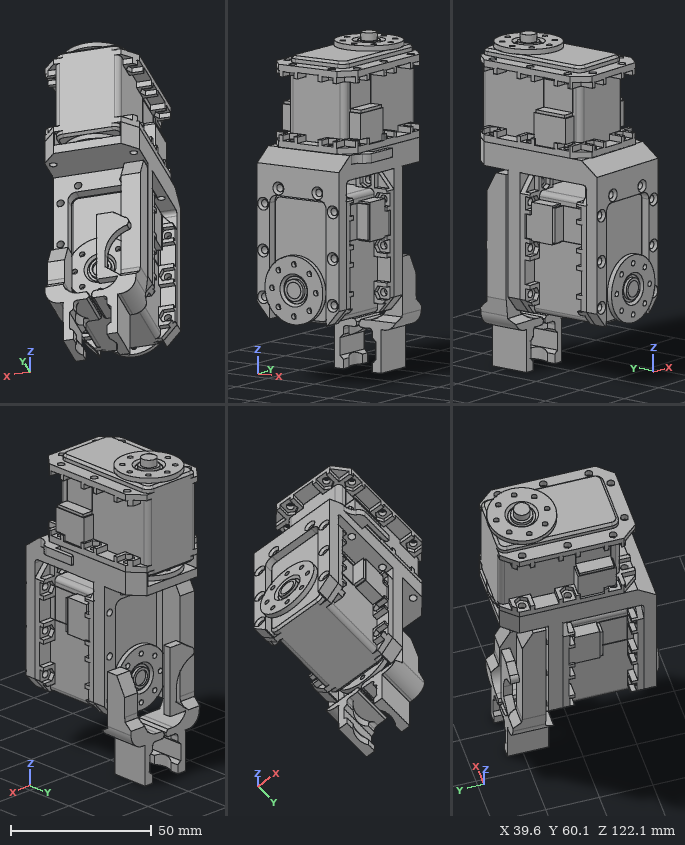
import cadquery as cq
import math

TOTAL_HEIGHT = 122.1
TOTAL_DEPTH = 60.1
HALF_WIDTH = 17.7

SERVO_HEIGHT = 30.2
REAR = 12.1
FLANGE_FRONT = -38.7
CASE_FRONT = -33.2
CASE_HALF_WIDTH = 12.2
CASE_RADIUS = 2.0
CORNER_X = 5.1
CORNER_Y = 5.9
PAD_HEIGHT = 4.5
PLATE_THICKNESS = PAD_HEIGHT / 2
PAD_WIDTH = 7.9
NUT_WIDTH = 4.8
NUT_DEPTH = 2.0
SCREW_DIA = 2.7
SIDE_SCREW_X = 15.0
SIDE_SCREW_FIRST_Y = 4.4
SIDE_SCREW_PITCH = 17.0
SIDE_SCREWS = [(SIDE_SCREW_X, SIDE_SCREW_FIRST_Y - i * SIDE_SCREW_PITCH) for i in range(3)]
END_SCREW = (8.4, -35.8)
CAP_HEIGHT = 2.5
CAP_RADIUS = 3.0
CAP_CHAMFER = 1.0
PIN_DIA = 6.0
PIN_REACH = 7.3
REAR_PIN_REACH = 5.4

SOCKET_REAR = -15.9
SOCKET_FRONT = -30.2
SOCKET_X = 17.0
SOCKET_TOP = 14.0
PLUG_TOP = 15.1
PLUG_INSET_X = 0.2
PLUG_INSET_Y = 0.6
SLOT_DEPTH = 0.2

HORN_DIA = 25.0
HORN_THICKNESS = 2.0
HORN_HOLE_DIA = 2.0
HORN_HOLE_COUNT = 8
HORN_CIRCLE_DIA = 18.9
GROOVE_RIM_DIA = 12.0
GROOVE_DIA = 10.0
HUB_DIA = 8.0
GROOVE_DEPTH = 1.2
UPPER_REAR_HORN_GAP = 3.3
LOWER_REAR_HORN_GAP = 4.3
HORN_CLEARANCE_DIA = 25.4

UPPER_BASE_Z = TOTAL_HEIGHT - PIN_REACH - SERVO_HEIGHT
LOWER_BASE_Y = HORN_DIA / 2 + SERVO_HEIGHT + PIN_REACH - TOTAL_DEPTH
LOWER_AXIS_Z = 35.3

DECK_THICKNESS = 8.9
DECK_BOTTOM = UPPER_BASE_Z - DECK_THICKNESS
REAR_ARM = 5.5
FRONT_ARM = 4.8
DECK_FRONT = -38.0
DECK_POCKET = 5.5
FRONT_SLOPE_DROP = 5.1
INNER_RADIUS = 1.7
COUNTERSINK_DIA = 4.6
COUNTERSINK_ANGLE = 90
HOOK_X = 21.9
HOOK_INNER_X = 20.1
HOOK_TIP_X = 21.0
HOOK_TIP_Y = -17.1
HOOK_TAPER_Y = -19.7
HOOK_ROOT_REAR = -27.0
HOOK_BEND_Y = -30.3
HOOK_ROOT_FRONT = -37.9
HOOK_EMBED = 1.2
HOOK_HEIGHT = 3.3

FINGER_FRONT = -7.1
FINGER_REAR = 8.4
ARM_FRONT = -3.8
ARM_REAR = 5.1
FINGER_X = 17.0
GRIP_OUTER_X = 10.1
GRIP_INNER_X = 6.2
GRIP_RECESS_X = 7.7
FOOT_TOP = 3.5
RECESS_BOTTOM = 4.8
RECESS_TOP = 11.2
KNUCKLE_BOTTOM = 12.6
KNUCKLE_RADIUS = 1.3
TIP_X = 0.5
TIP_CHAMFER_X = 0.9
TIP_CHAMFER_Z = 0.6
TIP_TOP_CHAMFER_Z = 1.1
ARM_INNER_X = 10.5
HIP_TOP = 27.7
HIP_BOTTOM = 21.6
HIP_RADIUS = 5.7
PALM_BOTTOM = HIP_BOTTOM - HIP_RADIUS
PALM_TOP = 18.8
PALM_ARC_RADIUS = 6.6
FRONT_SLOPE_BOTTOM = 18.9
FRONT_SLOPE_TOP = 20.8
REAR_BEVEL_Y = 5.4
REAR_BEVEL_TOP = 25.9
REAR_BEVEL_BOTTOM = 23.3
ARM_CUT_Y = 1.1
ARM_CUT_DROP = 7.3
RIB_INNER_X = 2.5
RIB_FLAT_X = 5.5
RIB_FOOT_X = 11.6
RIB_TOP_X = 8.5
RIB_FLAT_BOTTOM = 28.1
RIB_FLAT_TOP = 33.2
RIB_TOP = 50
GRIP_DIA = 15.1
GRIP_Y = (FINGER_FRONT + FINGER_REAR) / 2
LEFT_ARM_TOP = 74.0
RIGHT_ARM_TOP = 42.7


def box(x0, x1, y0, y1, z0, z1):
    """Axis-aligned block between the given limits."""
    return cq.Workplane("XY").box(x1 - x0, y1 - y0, z1 - z0, centered=False).translate((x0, y0, z0))


def prism(points, z0, z1):
    """Closed polygon in XY, extruded from z0 to z1."""
    return cq.Workplane("XY").workplane(offset=z0).polyline(points).close().extrude(z1 - z0)


def across_x(points, half_width):
    """Closed polygon in YZ, extruded symmetrically in X."""
    return cq.Workplane("YZ").polyline(points).close().extrude(half_width, both=True)


def cylinders(points, dia, z0, z1):
    return cq.Workplane("XY").workplane(offset=z0).pushPoints(points).circle(dia / 2).extrude(z1 - z0)


def both_sides(shape):
    """The shape and its mirror image across the YZ plane."""
    return shape.union(shape.mirror("YZ"))


def place_upper(shape):
    return shape.translate((0, 0, UPPER_BASE_Z))


def place_lower(shape):
    """Turn the servo frame so that its axis points to -Y and its rear end points down."""
    turned = shape.rotate((0, 0, 0), (0, 0, 1), 180).rotate((0, 0, 0), (1, 0, 0), 90)
    return turned.translate((0, LOWER_BASE_Y, LOWER_AXIS_Z))


def screw_points():
    right = SIDE_SCREWS + [END_SCREW]
    return right + [(-x, y) for x, y in right]




def flange_outline(z0, z1):
    """Flange plan shape: a rectangle with four cut corners."""
    inner_x = HALF_WIDTH - CORNER_X
    right = [
        (inner_x, REAR),
        (HALF_WIDTH, REAR - CORNER_Y),
        (HALF_WIDTH, FLANGE_FRONT + CORNER_Y),
        (inner_x, FLANGE_FRONT),
    ]
    left = [(-x, y) for x, y in reversed(right)]
    return prism(right + left, z0, z1)


def nut_cutter(screw, angle):
    """Nut recess with its point towards the case and its mouth at the flange edge."""
    half = NUT_WIDTH / 2
    shoulder = -half / math.sqrt(3)
    point = 2 * shoulder
    outline = [(HALF_WIDTH, half), (shoulder, half), (point, 0), (shoulder, -half), (HALF_WIDTH, -half)]
    cutter = prism(outline, PAD_HEIGHT - NUT_DEPTH, PAD_HEIGHT)
    return cutter.rotate((0, 0, 0), (0, 0, 1), angle).translate((screw[0], screw[1], 0))


def flange():
    """Lower flange plate with a raised pad around each screw."""
    half = PAD_WIDTH / 2
    inner_x = CASE_HALF_WIDTH - CASE_RADIUS
    inner_y = CASE_FRONT + CASE_RADIUS
    pads = cq.Workplane("XY")
    for x, y in SIDE_SCREWS:
        pads = pads.union(box(inner_x, HALF_WIDTH, y - half, y + half, 0, PAD_HEIGHT))
    end_x = END_SCREW[0]
    pads = pads.union(box(end_x - half, end_x + half, FLANGE_FRONT, inner_y, 0, PAD_HEIGHT))
    pads = both_sides(pads).intersect(flange_outline(0, PAD_HEIGHT))
    return flange_outline(0, PLATE_THICKNESS).union(pads)


def flange_cutters():
    """Screw holes and nut recesses of the lower flange."""
    nuts = nut_cutter(END_SCREW, -90)
    for screw in SIDE_SCREWS:
        nuts = nuts.union(nut_cutter(screw, 0))
    return both_sides(nuts).union(cylinders(screw_points(), SCREW_DIA, 0, PAD_HEIGHT))


def servo_block(z0, z1, radius):
    """Case-sized block with rounded vertical edges."""
    block = box(-CASE_HALF_WIDTH, CASE_HALF_WIDTH, CASE_FRONT, REAR, z0, z1)
    return block.edges("|Z").fillet(radius)


def on_both_ends(shape):
    """The shape and its mirror image across the servo's mid-height plane."""
    return shape.union(shape.mirror("XY").translate((0, 0, SERVO_HEIGHT)))


def socket():
    """Cable socket with a slightly smaller plug on top, on the +X side."""
    body = box(0, SOCKET_X, SOCKET_FRONT, SOCKET_REAR, 0, SOCKET_TOP)
    plug = box(
        0,
        SOCKET_X - PLUG_INSET_X,
        SOCKET_FRONT + PLUG_INSET_Y,
        SOCKET_REAR - PLUG_INSET_Y,
        0,
        PLUG_TOP,
    )
    return body.union(plug)


def plug_slot():
    """Shallow recess in the case wall above the plug."""
    return box(
        CASE_HALF_WIDTH - SLOT_DEPTH,
        SOCKET_X,
        SOCKET_FRONT + PLUG_INSET_Y,
        SOCKET_REAR - PLUG_INSET_Y,
        PLUG_TOP,
        SERVO_HEIGHT - PAD_HEIGHT,
    )


def servo():
    case = servo_block(0, SERVO_HEIGHT, CASE_RADIUS).cut(both_sides(plug_slot()))
    cap = servo_block(-CAP_HEIGHT, 0, CAP_RADIUS).faces("<Z").chamfer(CAP_CHAMFER)
    body = case.union(both_sides(socket())).union(on_both_ends(flange().union(cap)))
    body = body.cut(on_both_ends(flange_cutters()))
    return body.union(cylinders([(0, 0)], PIN_DIA, -REAR_PIN_REACH, SERVO_HEIGHT + PIN_REACH))




def horn(base_z):
    """Disc on the servo pin, grooved face up, with its lower face at base_z."""
    disc = cq.Workplane("XY").circle(HORN_DIA / 2).circle(PIN_DIA / 2).extrude(HORN_THICKNESS)
    rim_depth = (GROOVE_RIM_DIA - GROOVE_DIA) / 2
    floor = HORN_THICKNESS - GROOVE_DEPTH
    groove_profile = [
        (HUB_DIA / 2, floor),
        (GROOVE_DIA / 2, floor),
        (GROOVE_DIA / 2, HORN_THICKNESS - rim_depth),
        (GROOVE_RIM_DIA / 2, HORN_THICKNESS),
        (HUB_DIA / 2, HORN_THICKNESS),
    ]
    groove = cq.Workplane("XZ").polyline(groove_profile).close().revolve(360, (0, 0, 0), (0, 1, 0))
    holes = (
        cq.Workplane("XY")
        .polarArray(HORN_CIRCLE_DIA / 2, 0, 360, HORN_HOLE_COUNT)
        .circle(HORN_HOLE_DIA / 2)
        .extrude(HORN_THICKNESS)
    )
    return disc.cut(groove).cut(holes).translate((0, 0, base_z))


def rear_horn(gap):
    """Horn below the servo, grooved face down, its near face the given gap from the flange."""
    return horn(gap).mirror("XY")




def corner_cutter(z0, z1):
    """The two wedges outside the rear flange corners."""
    wedge = prism(
        [(HALF_WIDTH - CORNER_X, REAR), (HALF_WIDTH, REAR), (HALF_WIDTH, REAR - CORNER_Y)], z0, z1
    )
    return both_sides(wedge)


def cap_window(z0, z1):
    """Opening around a servo cap, rounded at the front and open at the rear."""
    window = box(-CASE_HALF_WIDTH, CASE_HALF_WIDTH, CASE_FRONT, 2 * REAR, z0, z1)
    return window.edges("|Z and <Y").fillet(CAP_RADIUS)


def horn_clearance(depth):
    return cylinders([(0, 0)], HORN_CLEARANCE_DIA, -depth, 0)


def hook():
    """Cable hook on the +X side of the deck."""
    outline = (
        cq.Workplane("XY")
        .moveTo(HALF_WIDTH - HOOK_EMBED, HOOK_ROOT_REAR)
        .lineTo(HOOK_INNER_X, HOOK_ROOT_REAR)
        .lineTo(HOOK_INNER_X, HOOK_TAPER_Y)
        .threePointArc((20.4, -18.3), (HOOK_TIP_X, HOOK_TIP_Y))
        .lineTo(HOOK_X, HOOK_TIP_Y)
        .lineTo(HOOK_X, HOOK_BEND_Y)
        .threePointArc((21.2, -31.7), (19.8, -33))
        .threePointArc((18.3, -34.8), (HALF_WIDTH, HOOK_ROOT_FRONT))
        .lineTo(HALF_WIDTH - HOOK_EMBED, HOOK_ROOT_FRONT)
        .close()
    )
    return outline.extrude(HOOK_HEIGHT).translate((0, 0, UPPER_BASE_Z - HOOK_HEIGHT))


def bracket():
    rear_inner = LOWER_BASE_Y
    rear_outer = rear_inner + REAR_ARM
    front_inner = LOWER_BASE_Y - SERVO_HEIGHT
    front_outer = front_inner - FRONT_ARM
    arm_bottom = LOWER_AXIS_Z - REAR
    side_profile = [
        (REAR, DECK_BOTTOM),
        (REAR, UPPER_BASE_Z),
        (DECK_FRONT, UPPER_BASE_Z),
        (front_outer, UPPER_BASE_Z - FRONT_SLOPE_DROP),
        (front_outer, arm_bottom),
        (front_inner, arm_bottom),
        (front_inner, DECK_BOTTOM),
        (rear_inner, DECK_BOTTOM),
        (rear_inner, arm_bottom),
        (rear_outer, arm_bottom),
        (rear_outer, DECK_BOTTOM),
    ]
    frame = across_x(side_profile, HALF_WIDTH)
    inner_corner = cq.selectors.NearestToPointSelector((0, front_inner, DECK_BOTTOM))
    frame = frame.edges(inner_corner).fillet(INNER_RADIUS)
    frame = frame.union(hook())

    deck_cuts = cap_window(-DECK_POCKET, 0).union(horn_clearance(DECK_POCKET))
    deck_cuts = deck_cuts.union(corner_cutter(-DECK_THICKNESS, 0))
    deck_cuts = deck_cuts.union(cylinders(screw_points(), SCREW_DIA, -DECK_THICKNESS, 0))

    front_face = SERVO_HEIGHT + FRONT_ARM
    arm_cuts = cap_window(-REAR_ARM, front_face).union(horn_clearance(REAR_ARM))
    arm_cuts = arm_cuts.union(corner_cutter(-REAR_ARM, front_face))
    arm_cuts = arm_cuts.union(cylinders(screw_points(), SCREW_DIA, -REAR_ARM, front_face))
    sink_depth = COUNTERSINK_DIA / 2 / math.tan(math.radians(COUNTERSINK_ANGLE / 2))
    for x, y in screw_points():
        apex = front_face - sink_depth
        sink = cq.Solid.makeCone(0, COUNTERSINK_DIA / 2, sink_depth, cq.Vector(x, y, apex))
        arm_cuts = arm_cuts.union(cq.Workplane(sink))
    return frame.cut(place_upper(deck_cuts)).cut(place_lower(arm_cuts))




def finger(hip_x):
    """Hook-shaped finger and hip on the +X side, with slopes above its front and rear edges."""
    outline = (
        cq.Workplane("XZ")
        .moveTo(GRIP_INNER_X, 0)
        .lineTo(GRIP_INNER_X, FOOT_TOP)
        .lineTo(GRIP_RECESS_X, RECESS_BOTTOM)
        .lineTo(GRIP_RECESS_X, RECESS_TOP)
        .lineTo(GRIP_INNER_X, KNUCKLE_BOTTOM)
        .lineTo(GRIP_INNER_X, PALM_BOTTOM - KNUCKLE_RADIUS)
        .radiusArc((GRIP_INNER_X - KNUCKLE_RADIUS, PALM_BOTTOM), -KNUCKLE_RADIUS)
        .lineTo(TIP_X + TIP_CHAMFER_X, PALM_BOTTOM)
        .lineTo(TIP_X, PALM_BOTTOM + TIP_CHAMFER_Z)
        .lineTo(TIP_X, PALM_TOP - TIP_TOP_CHAMFER_Z)
        .lineTo(TIP_X + TIP_CHAMFER_X, PALM_TOP)
        .lineTo(ARM_INNER_X - PALM_ARC_RADIUS, PALM_TOP)
        .radiusArc((ARM_INNER_X, PALM_TOP + PALM_ARC_RADIUS), -PALM_ARC_RADIUS)
        .lineTo(ARM_INNER_X, HIP_TOP)
        .lineTo(hip_x, HIP_TOP)
        .lineTo(FINGER_X, HIP_BOTTOM)
        .radiusArc((FINGER_X - HIP_RADIUS, PALM_BOTTOM), HIP_RADIUS)
        .lineTo(GRIP_OUTER_X, PALM_BOTTOM)
        .lineTo(GRIP_OUTER_X, 0)
        .close()
    )
    solid = outline.extrude(FINGER_REAR - FINGER_FRONT).translate((0, FINGER_REAR, 0))
    slopes = [
        (FINGER_FRONT, 0),
        (FINGER_FRONT, FRONT_SLOPE_BOTTOM),
        (ARM_FRONT, FRONT_SLOPE_TOP),
        (ARM_FRONT, HIP_TOP),
        (ARM_REAR, HIP_TOP),
        (REAR_BEVEL_Y, REAR_BEVEL_TOP),
        (FINGER_REAR, REAR_BEVEL_BOTTOM),
        (FINGER_REAR, 0),
    ]
    return solid.intersect(across_x(slopes, HALF_WIDTH))


def jaw_arm(hip_x, top):
    """Upright arm on the +X side with a cut upper rear corner."""
    profile = [
        (ARM_FRONT, HIP_TOP),
        (ARM_FRONT, top),
        (ARM_CUT_Y, top),
        (ARM_REAR, top - ARM_CUT_DROP),
        (ARM_REAR, HIP_TOP),
    ]
    span = cq.Workplane("YZ").workplane(offset=ARM_INNER_X).polyline(profile).close()
    return span.extrude(hip_x - ARM_INNER_X)


def rear_rib():
    """Rib behind the tall arm, with a rounded nose at its upper outer corner."""
    outline = (
        cq.Workplane("XZ")
        .moveTo(RIB_INNER_X, REAR_BEVEL_BOTTOM)
        .lineTo(RIB_FOOT_X, REAR_BEVEL_BOTTOM)
        .lineTo(RIB_FLAT_X, RIB_FLAT_BOTTOM)
        .lineTo(RIB_FLAT_X, RIB_FLAT_TOP)
        .threePointArc((7.8, 39.9), (13.7, 43.8))
        .threePointArc((14.3, 45.4), (12.7, 47.3))
        .lineTo(RIB_TOP_X, RIB_TOP)
        .lineTo(RIB_INNER_X, RIB_TOP)
        .close()
    )
    return outline.extrude(FINGER_REAR - ARM_REAR).translate((0, FINGER_REAR, 0))


def jaw(hip_x, arm_top):
    """Finger and arm, hollowed below the palm to grip an upright cylinder."""
    grip = cylinders([(0, GRIP_Y)], GRIP_DIA, 0, PALM_BOTTOM)
    return finger(hip_x).union(jaw_arm(hip_x, arm_top)).cut(grip)



lower_front_gap = SERVO_HEIGHT + PIN_REACH - HORN_THICKNESS
upper_front_gap = SERVO_HEIGHT + CAP_HEIGHT

servos = [place_upper(servo()), place_lower(servo())]
horns = [
    place_upper(horn(upper_front_gap)),
    place_upper(rear_horn(UPPER_REAR_HORN_GAP)),
    place_lower(horn(lower_front_gap)),
    place_lower(rear_horn(LOWER_REAR_HORN_GAP)),
]
left_jaw = jaw(HALF_WIDTH, LEFT_ARM_TOP).union(rear_rib()).mirror("YZ")
right_jaw = jaw(FINGER_X, RIGHT_ARM_TOP)
bodies = servos + horns + [bracket(), left_jaw, right_jaw]

result = cq.Compound.makeCompound([body.solids().val() for body in bodies])